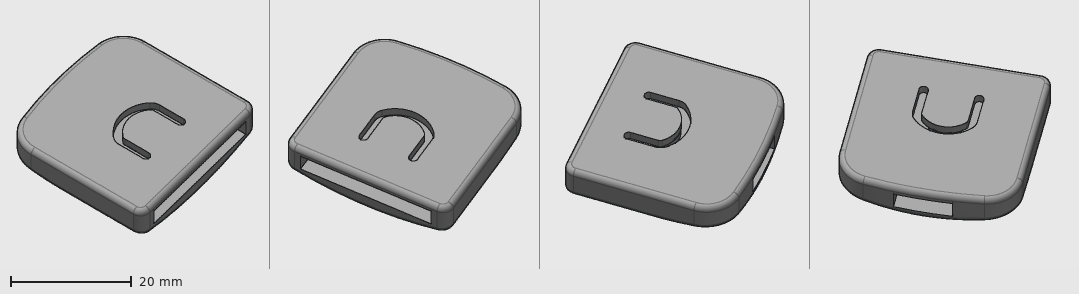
import cadquery as cq
import math

length = 29.98
width = 31.0
height = 7.7
nose_radius = 78.75
nose_corner_radius = 6.0
rear_corner_radius = 1.98
edge_radius = 1.0

belly_radius = 60.0
belly_dome_x = 13.85

passage_width = 10.0
passage_floor = 2.95
passage_height = 3.2
passage_ceiling = passage_floor + passage_height

chamber_width = 24.8
chamber_start_x = 3.72

slot_width = 1.55
tongue_half_width = 3.95
tongue_tip_radius = 4.95
tongue_tip_x = 15.07
shoulder_radius = 0.78
slot_end_x = 23.05

button_radius = 3.05
button_drop = 1.4
button_dome_radius = 31.0


def make_plan():
    """Full-height block with a bowed nose and rounded upright corners."""
    half_width = width / 2
    nose_side_x = nose_radius - math.sqrt(nose_radius**2 - half_width**2)
    block = (
        cq.Workplane("XY")
        .moveTo(nose_side_x, -half_width)
        .lineTo(length, -half_width)
        .lineTo(length, half_width)
        .lineTo(nose_side_x, half_width)
        .threePointArc((0, 0), (nose_side_x, -half_width))
        .close()
        .extrude(height)
    )
    block = block.edges("|Z").edges("<X").fillet(nose_corner_radius)
    return block.edges("|Z").edges(">X").fillet(rear_corner_radius)


def make_belly():
    """Cylinder with a spherical nose end, tangent to Z = 0."""
    cylinder = (
        cq.Workplane("YZ", origin=(belly_dome_x, 0, belly_radius))
        .circle(belly_radius)
        .extrude(length)
    )
    sphere = cq.Workplane("XY", origin=(belly_dome_x, 0, belly_radius)).sphere(belly_radius)
    return cylinder.union(sphere)


def make_slot():
    """Constant-width band around the tongue, with round ends."""
    tip_centre_x = tongue_tip_x + tongue_tip_radius
    shoulder_x = tip_centre_x - math.sqrt(tongue_tip_radius**2 - tongue_half_width**2)
    band_end_x = slot_end_x - slot_width / 2
    depth = height - passage_ceiling
    plane = cq.Workplane("XY", origin=(0, 0, passage_ceiling))

    def tongue_outline():
        return (
            plane.moveTo(slot_end_x + slot_width, -tongue_half_width)
            .lineTo(slot_end_x + slot_width, tongue_half_width)
            .lineTo(shoulder_x, tongue_half_width)
            .threePointArc((tongue_tip_x, 0), (shoulder_x, -tongue_half_width))
            .close()
            .offset2D(-shoulder_radius)
            .offset2D(shoulder_radius, "arc")
        )

    band = tongue_outline().offset2D(slot_width, "arc").extrude(depth)
    band = band.cut(tongue_outline().extrude(depth))
    keep = plane.rect(2 * band_end_x, width).extrude(depth)
    band = band.intersect(keep)
    end_y = tongue_half_width + slot_width / 2
    ends = plane.pushPoints([(band_end_x, end_y), (band_end_x, -end_y)]).circle(slot_width / 2)
    return band.union(ends.extrude(depth))


def make_button():
    """Short cylinder with a shallow domed lower face, joined to the tongue."""
    centre_x = tongue_tip_x + button_radius
    lowest = passage_ceiling - button_drop
    base = cq.Workplane("XY", origin=(centre_x, 0, lowest))
    post = base.circle(button_radius).extrude(button_drop)
    dome = base.sphere(button_dome_radius).translate((0, 0, button_dome_radius))
    return post.intersect(dome)


def make_passage(start_x, opening_width):
    """Rectangular channel from start_x out through the rear face."""
    channel = cq.Workplane("XY", origin=(start_x, 0, passage_floor))
    return channel.box(length - start_x, opening_width, passage_height, centered=(False, True, False))


body = make_plan().intersect(make_belly())
body = body.faces(">Z").edges().fillet(edge_radius)

lower_half = cq.selectors.BoxSelector((-0.3, -width, -0.3), (length + 0.3, width, height / 2), boundingbox=True)
body = body.edges(lower_half).fillet(edge_radius)

body = body.cut(make_passage(0, passage_width))
body = body.cut(make_passage(chamber_start_x, chamber_width))
body = body.cut(make_slot())

result = body.union(make_button())